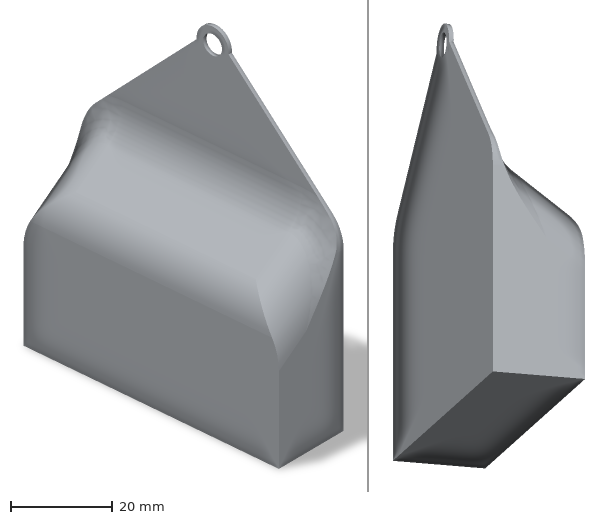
import cadquery as cq
import math

width = 68.0
depth = 19.0
height = 80.3
plate_thickness = 1.0
slope_angle = 35.0
front_edge_height = 35.0
blend_radius = 10.0

eye_radius = 4.25
hole_diameter = 5.0
outline_corner_height = 46.6
roof_end_height = 75.55
eye_height = height - eye_radius

margin = 24.1
selection_slack = 0.1

slope = math.tan(math.radians(slope_angle))


def sloped_block(front, front_height, block_width):
    """Block from the back plane to y = -front, topped by the shoulder plane."""
    return (
        cq.Workplane("YZ")
        .polyline([
            (0, -margin),
            (-front, -margin),
            (-front, front_height),
            (0, front_height + front * slope),
        ])
        .close()
        .extrude(block_width / 2, both=True)
    )


def make_shoulder():
    """Sloped body whose front and side roundings meet in mitred corners."""
    front_rounded = (
        sloped_block(depth, front_edge_height, width + margin)
        .edges(cq.selectors.NearestToPointSelector((0, -depth, front_edge_height)))
        .fillet(blend_radius)
    )
    deep_front = depth + margin
    side_rounded = sloped_block(deep_front, front_edge_height - margin * slope, width)
    side_rounded = side_rounded.faces(">Z").edges("not |X").fillet(blend_radius)
    return front_rounded.intersect(side_rounded)


def make_blended_body():
    """Shoulder on an oversized plate, with a concave blend along their joint."""
    plate = (
        cq.Workplane("XY")
        .box(
            width + 2 * margin,
            plate_thickness,
            height + 2 * margin,
            centered=(True, False, False),
        )
        .translate((0, -plate_thickness, -margin))
    )
    reach = (width + margin) / 2
    joint = cq.selectors.BoxSelector(
        (-reach, -plate_thickness - selection_slack, -margin / 2),
        (reach, -plate_thickness + selection_slack, height),
    )
    return plate.union(make_shoulder()).edges(joint).fillet(blend_radius)


def make_outline():
    """House-shaped prism with rounded eaves and the hanging eye on top."""
    half = width / 2
    house = (
        cq.Workplane("XZ")
        .polyline([
            (-half, 0),
            (half, 0),
            (half, outline_corner_height),
            (eye_radius, roof_end_height),
            (-eye_radius, roof_end_height),
            (-half, outline_corner_height),
        ])
        .close()
        .extrude(depth)
    )
    for side in (-half, half):
        eave = cq.selectors.NearestToPointSelector((side, -depth / 2, outline_corner_height))
        house = house.edges("|Y").edges(eave).fillet(blend_radius)
    eye = cq.Workplane("XZ").center(0, eye_height).circle(eye_radius).extrude(depth)
    hole = cq.Workplane("XZ").center(0, eye_height).circle(hole_diameter / 2).extrude(depth)
    return house.union(eye).cut(hole)


result = make_blended_body().intersect(make_outline())